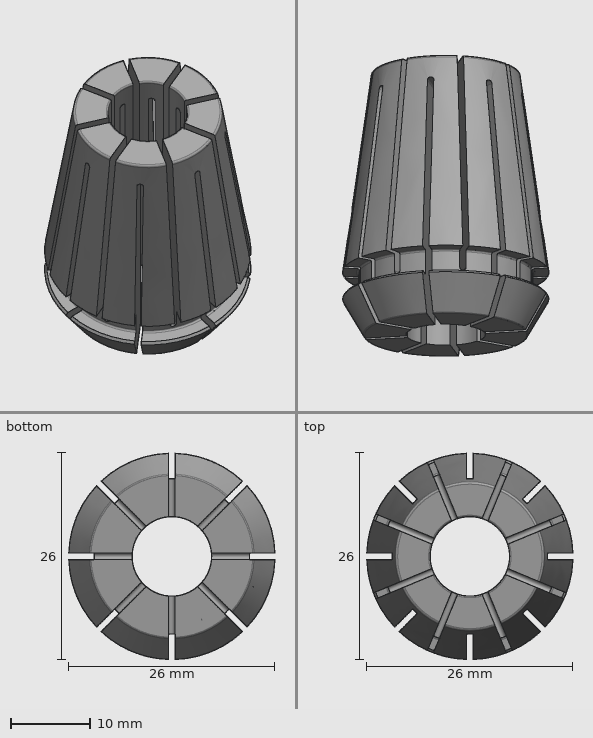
import cadquery as cq
import math

height = 34.0
max_radius = 26.0 / 2
bore_radius = 10.0 / 2

taper_angle = 8.0
taper_base_z = 8.13
top_fillet = 0.3
bore_fillet = 0.2

neck_radius = 11.0
neck_fillet = 0.25

rim_top_z = 4.95
rim_chamfer = 0.3
nose_angle = 30.0
nose_fillet = 0.2

slots_per_end = 8
slot_width = 0.8
lower_slot_end_z = 31.05
upper_slot_end_z = 5.47
slot_overrun = 1.7

taper_top_radius = max_radius - (height - taper_base_z) * math.tan(math.radians(taper_angle))
rim_edge_z = rim_top_z - rim_chamfer
nose_radius = max_radius - rim_edge_z * math.tan(math.radians(nose_angle))


def make_body():
    """Revolve the half section of the unslotted collet about Z."""
    body = (
        cq.Workplane("XZ")
        .moveTo(bore_radius, 0)
        .lineTo(nose_radius, 0)
        .lineTo(max_radius, rim_edge_z)
        .lineTo(max_radius - rim_chamfer, rim_top_z)
        .lineTo(neck_radius, rim_top_z)
        .lineTo(neck_radius, taper_base_z)
        .lineTo(max_radius, taper_base_z)
        .lineTo(taper_top_radius, height)
        .lineTo(bore_radius, height)
        .close()
        .revolve(360, (0, 0, 0), (0, 1, 0))
    )
    inner_edge = cq.selectors.RadiusNthSelector(0)
    outer_edge = cq.selectors.RadiusNthSelector(1)
    body = body.faces(">Z").edges(outer_edge).fillet(top_fillet)
    body = body.faces(">Z").edges(inner_edge).fillet(bore_fillet)
    body = body.faces("<Z").edges(outer_edge).fillet(nose_fillet)
    groove = cq.selectors.BoxSelector(
        (-max_radius, -max_radius, rim_edge_z),
        (max_radius, max_radius, taper_base_z + neck_fillet),
        boundingbox=True,
    )
    return body.edges("%CIRCLE").edges(groove).edges(inner_edge).fillet(neck_fillet)


def make_slot(round_end_z, open_end_z, angle):
    """Make a radial slot cutter with a full-round end, reaching from the axis outwards."""
    direction = math.copysign(1, open_end_z - round_end_z)
    round_center_z = round_end_z + direction * slot_width / 2
    half_width = slot_width / 2
    return (
        cq.Workplane("YZ")
        .moveTo(-half_width, open_end_z)
        .lineTo(-half_width, round_center_z)
        .threePointArc((0, round_end_z), (half_width, round_center_z))
        .lineTo(half_width, open_end_z)
        .close()
        .extrude(max_radius + slot_overrun)
        .rotate((0, 0, 0), (0, 0, 1), angle)
    )


slot_pitch = 360 / slots_per_end
result = make_body()
for index in range(slots_per_end):
    lower_angle = index * slot_pitch
    upper_angle = lower_angle + slot_pitch / 2
    result = result.cut(make_slot(lower_slot_end_z, -slot_overrun, lower_angle))
    result = result.cut(make_slot(upper_slot_end_z, height + slot_overrun, upper_angle))